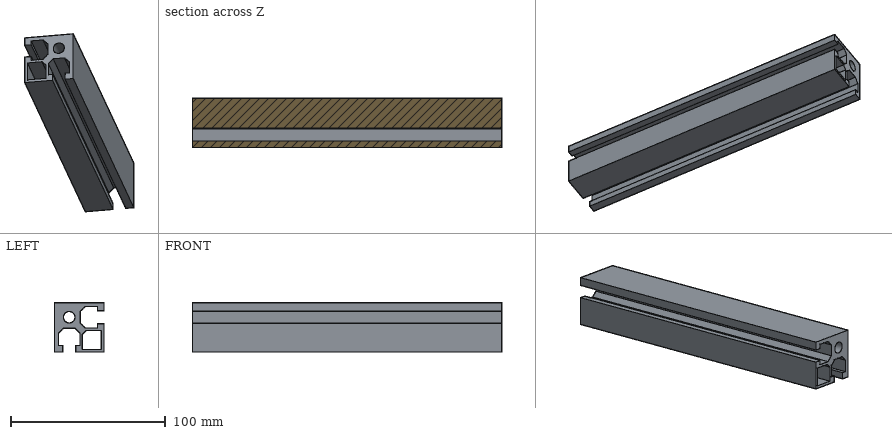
import cadquery as cq

LENGTH = 200.0
SIDE = 32.0
HALF = SIDE / 2

SLOT_CENTRE = 9.5
MOUTH_WIDTH = 8.3
LIP_THICKNESS = 4.3
SLOT_DEPTH = 15.3
CAVITY_WIDTH = 13.8
CAVITY_CHAMFER = 3.2

BORE_CENTRE = SLOT_CENTRE
BORE_DIAMETER = 7.3

CHAMBER_WALL = 1.8
CHAMBER_SIDE = 12.1
CHAMBER_CHAMFER = 2.5

OVERCUT = 1.0


def section():
    """Sketch plane across the profile at the -X end: local axes are Y and Z."""
    return cq.Workplane("YZ", origin=(-LENGTH / 2, 0, 0))


def slot_outline():
    """T-slot points as (offset from the solid corner, depth from the open face)."""
    mouth_near = SLOT_CENTRE - MOUTH_WIDTH / 2
    mouth_far = SLOT_CENTRE + MOUTH_WIDTH / 2
    cavity_near = SLOT_CENTRE - CAVITY_WIDTH / 2
    cavity_far = SLOT_CENTRE + CAVITY_WIDTH / 2
    shoulder = SLOT_DEPTH - CAVITY_CHAMFER
    return [
        (mouth_near, -OVERCUT),
        (mouth_near, LIP_THICKNESS),
        (cavity_near, LIP_THICKNESS),
        (cavity_near, shoulder),
        (cavity_near + CAVITY_CHAMFER, SLOT_DEPTH),
        (cavity_far - CAVITY_CHAMFER, SLOT_DEPTH),
        (cavity_far, shoulder),
        (cavity_far, LIP_THICKNESS),
        (mouth_far, LIP_THICKNESS),
        (mouth_far, -OVERCUT),
    ]


def slot_cutter(opens_down):
    """T-slot prism opening on -Z when opens_down is true, otherwise on -Y."""
    points = []
    for offset, depth in slot_outline():
        along = HALF - offset
        inward = depth - HALF
        points.append((along, inward) if opens_down else (inward, along))
    return section().polyline(points).close().extrude(LENGTH)


def chamber_cutter():
    """Square chamber whose inner corner, next to the middle web, is chamfered."""
    outer = CHAMBER_WALL - HALF
    inner = outer + CHAMBER_SIDE
    cut = inner - CHAMBER_CHAMFER
    points = [(outer, outer), (inner, outer), (inner, cut), (cut, inner), (outer, inner)]
    return section().polyline(points).close().extrude(LENGTH)


def bore_cutter():
    """Round bore along the full length."""
    centre = HALF - BORE_CENTRE
    return section().center(centre, centre).circle(BORE_DIAMETER / 2).extrude(LENGTH)


result = section().rect(SIDE, SIDE).extrude(LENGTH)
for opens_down in (True, False):
    result = result.cut(slot_cutter(opens_down))
result = result.cut(chamber_cutter())
result = result.cut(bore_cutter())